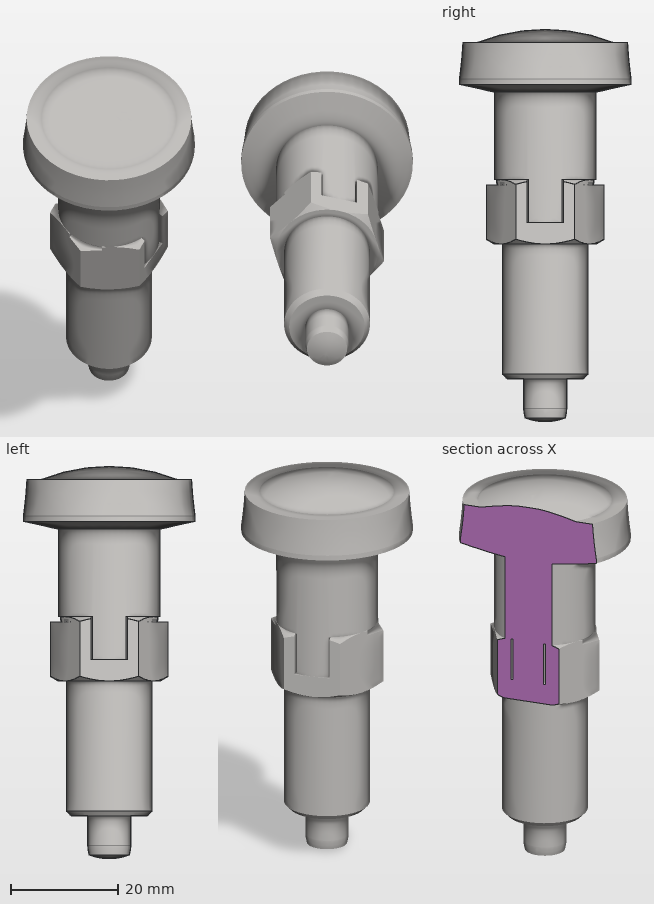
import cadquery as cq

pin_crown_edge = 0.7
pin_nose_top = 2.5
barrel_bottom = 7.95
hex_bottom = 33.1
hex_top = 45.05
knob_bottom = 61.3
rim_bottom = 62.8
rim_top = 63.7
knob_shoulder = 70.6
overall_height = 73.0

pin_radius = 8.0 / 2
pin_crown_radius = 7.5 / 2
pin_nose_bulge = 0.1
barrel_radius = 16.0 / 2
barrel_chamfer = 0.95

hex_across_flats = 19.0
hex_chamfer_height = 0.9
slot_width = 6.85
deep_slot_floor = 37.1
shallow_slot_floor = 44.1

sleeve_radius = 18.9 / 2
tongue_width = 6.2
key_radius = 9.05
key_width = 5.85
key_bottom = 44.45
rim_radius = 32.0 / 2
shoulder_radius = 15.3
side_hollow = 0.1
dome_radius = 12.55


def revolve_about_z(profile):
    """Turn a closed XZ profile (radius, height) around the Z axis."""
    return profile.close().revolve(360, (0, 0, 0), (0, 1, 0))


def cylinder(radius, bottom, top):
    return cq.Workplane("XY").workplane(offset=bottom).circle(radius).extrude(top - bottom)


def bar_across(length, width, bottom, top):
    """Straight bar along X, centred on the Z axis."""
    return (
        cq.Workplane("XY").workplane(offset=bottom)
        .rect(length, width)
        .extrude(top - bottom)
    )


def dome_midpoint(base_radius, base_height, apex_height):
    """Halfway point of a spherical arc from the apex on the axis to its base."""
    rise = abs(apex_height - base_height)
    sphere_radius = (base_radius**2 + rise**2) / (2 * rise)
    mid_radius = base_radius / 2
    drop = sphere_radius - (sphere_radius**2 - mid_radius**2) ** 0.5
    if apex_height < base_height:
        drop = -drop
    return mid_radius, apex_height - drop


def make_pin_and_barrel():
    nose_middle = (
        (pin_crown_radius + pin_radius) / 2 + pin_nose_bulge,
        (pin_crown_edge + pin_nose_top) / 2,
    )
    profile = (
        cq.Workplane("XZ")
        .moveTo(0, 0)
        .threePointArc(
            dome_midpoint(pin_crown_radius, pin_crown_edge, 0),
            (pin_crown_radius, pin_crown_edge),
        )
        .threePointArc(nose_middle, (pin_radius, pin_nose_top))
        .lineTo(pin_radius, barrel_bottom)
        .lineTo(barrel_radius - barrel_chamfer, barrel_bottom)
        .lineTo(barrel_radius, barrel_bottom + barrel_chamfer)
        .lineTo(barrel_radius, hex_top)
        .lineTo(0, hex_top)
    )
    return revolve_about_z(profile)


def make_collar():
    flat_radius = hex_across_flats / 2
    corner_radius = flat_radius * 2 / 3**0.5
    prism = (
        cq.Workplane("XY").workplane(offset=hex_bottom)
        .transformed(rotate=(0, 0, 90))
        .polygon(6, 2 * corner_radius)
        .extrude(hex_top - hex_bottom)
    )
    envelope = revolve_about_z(
        cq.Workplane("XZ")
        .moveTo(0, hex_bottom)
        .lineTo(flat_radius, hex_bottom)
        .lineTo(corner_radius, hex_bottom + hex_chamfer_height)
        .lineTo(corner_radius, hex_top - hex_chamfer_height)
        .lineTo(flat_radius, hex_top)
        .lineTo(0, hex_top)
    )
    slot_length = 3 * corner_radius
    deep_slot = bar_across(slot_length, slot_width, deep_slot_floor, hex_top)
    shallow_slot = bar_across(slot_width, slot_length, shallow_slot_floor, hex_top)
    return prism.intersect(envelope).cut(deep_slot).cut(shallow_slot)


def make_sleeve():
    """Sleeve with tongues in the deep collar slot and short keys in the shallow one."""
    full_width = 2 * sleeve_radius
    sleeve = cylinder(sleeve_radius, hex_top, knob_bottom)
    tongues = cylinder(sleeve_radius, deep_slot_floor, hex_top).intersect(
        bar_across(full_width, tongue_width, deep_slot_floor, hex_top)
    )
    keys = cylinder(key_radius, key_bottom, hex_top).intersect(
        bar_across(key_width, full_width, key_bottom, hex_top)
    )
    return sleeve.union(tongues).union(keys)


def make_knob():
    side_middle = (
        (rim_radius + shoulder_radius) / 2 - side_hollow,
        (rim_top + knob_shoulder) / 2,
    )
    profile = (
        cq.Workplane("XZ")
        .moveTo(0, knob_bottom)
        .lineTo(sleeve_radius, knob_bottom)
        .lineTo(rim_radius, rim_bottom)
        .lineTo(rim_radius, rim_top)
        .threePointArc(side_middle, (shoulder_radius, knob_shoulder))
        .lineTo(dome_radius, knob_shoulder)
        .threePointArc(
            dome_midpoint(dome_radius, knob_shoulder, overall_height),
            (0, overall_height),
        )
    )
    return revolve_about_z(profile)


result = (
    make_pin_and_barrel()
    .union(make_collar())
    .union(make_sleeve())
    .union(make_knob())
)